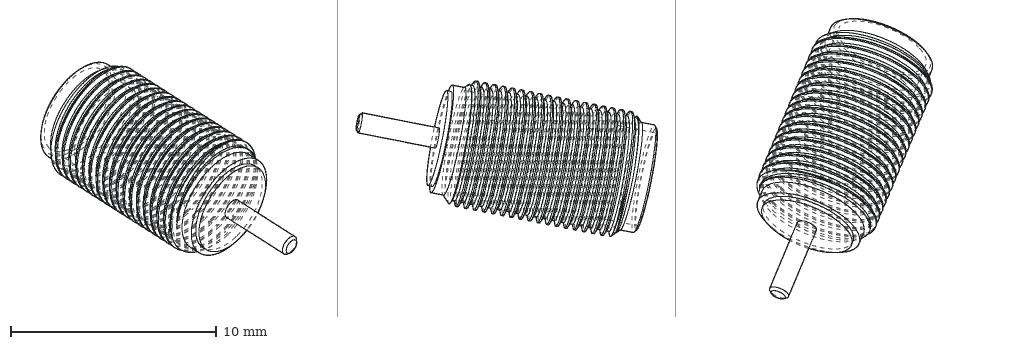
import cadquery as cq

total_length = 14.4
front_collar_end = 0.78
rear_collar_start = 9.59
rear_collar_end = 10.21
flange_end = 10.43

crest_diameter = 6.2

collar_radius = 2.68
root_radius = 2.85
crest_radius = crest_diameter / 2
flange_radius = 2.36
pin_radius = 0.5
bore_radius = 2.3

bore_depth = 2.02
lip_chamfer_length = 0.12
lip_chamfer_height = 0.15
pin_chamfer = 0.13

thread_turns = 20
thread_length = 9.07
pitch = thread_length / thread_turns
crest_position = 1.44
crest_width = 0.09
root_width = 0.3
ridge_overlap = 0.05
trim_clearance = 0.15


def revolve_about_x(points):
    """Revolve a closed (x, radius) outline about the X axis."""
    outline = cq.Workplane("XY").polyline(points).close()
    return outline.revolve(360, (0, 0, 0), (1, 0, 0))


def barrel(radius):
    """Body between the collars, with 45 degree cones rising to the given radius."""
    cone_length = radius - collar_radius
    return revolve_about_x([
        (0, 0),
        (0, collar_radius - lip_chamfer_height),
        (lip_chamfer_length, collar_radius),
        (front_collar_end, collar_radius),
        (front_collar_end + cone_length, radius),
        (rear_collar_start - cone_length, radius),
        (rear_collar_start, collar_radius),
        (rear_collar_end, collar_radius),
        (rear_collar_end, 0),
    ])


def thread_ridge():
    """Helical ridge that runs past both cones and is trimmed by them."""
    start = crest_position - 2 * pitch
    base_radius = root_radius - ridge_overlap
    flank_slope = (root_width - crest_width) / 2 / (crest_radius - root_radius)
    half_base = root_width / 2 + flank_slope * ridge_overlap
    half_crest = crest_width / 2

    path = cq.Wire.makeHelix(pitch, thread_length, base_radius)
    ridge = (
        cq.Workplane("XZ")
        .polyline([
            (base_radius, -half_base),
            (crest_radius, -half_crest),
            (crest_radius, half_crest),
            (base_radius, half_base),
        ])
        .close()
        .sweep(cq.Workplane(obj=path), isFrenet=True)
    )
    ridge = ridge.rotate((0, 0, 0), (0, 1, 0), 90)
    return ridge.translate((start + pitch / 2, 0, 0))


def flange():
    return revolve_about_x([
        (rear_collar_end, 0),
        (rear_collar_end, flange_radius),
        (flange_end, flange_radius),
        (flange_end, 0),
    ])


def pin():
    return revolve_about_x([
        (flange_end, 0),
        (flange_end, pin_radius),
        (total_length - pin_chamfer, pin_radius),
        (total_length, pin_radius - pin_chamfer),
        (total_length, 0),
    ])


def bore():
    return cq.Workplane("YZ").circle(bore_radius).extrude(bore_depth)


root_rod = cq.Workplane("YZ").circle(root_radius).extrude(flange_end)
threaded_rod = root_rod.union(thread_ridge())
threaded_body = threaded_rod.intersect(barrel(crest_radius + trim_clearance))
result = threaded_body.union(flange()).union(pin()).cut(bore())